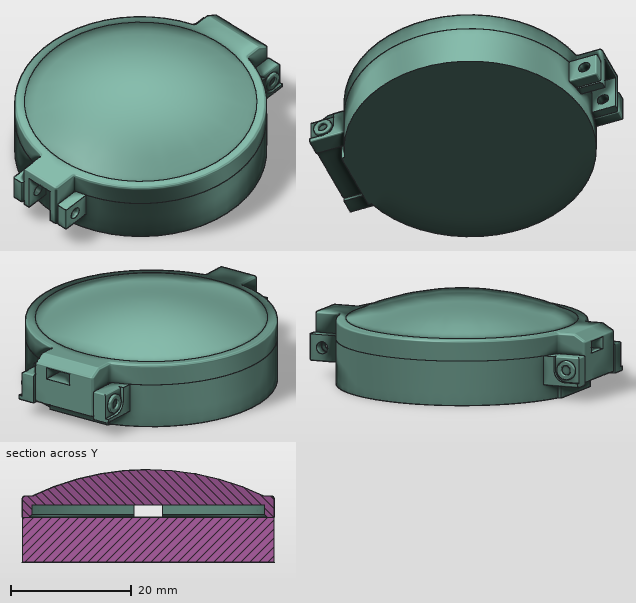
import cadquery as cq
import math

case_radius = 21.0
base_height = 7.55
lid_top = 11.05
dome_height = 4.4
dome_radius = 19.35
cavity_top = 9.55
rim_chamfer = 0.4
tab_reach = 25.1
tab_bottom = 3.0
edge_round = 0.5
small_round = 0.3

latch_half_width = 3.75
latch_slot_half_width = 2.35
latch_lug_inner = 3.9
latch_lug_outer = 5.95

hinge_half_width = 6.0
hinge_flat_y = 20.7
hinge_lug_inner = 6.15
hinge_lug_outer = 9.15
hinge_lug_bottom = 2.55
hinge_slope_run = 2.0
hinge_slope_drop = 1.2
hinge_window_left = -1.25
hinge_window_right = 3.5

axis_offset = 22.85
axis_height = 5.35
pin_radius = 1.0
pin_depth = 2.0
pin_end = hinge_half_width - pin_depth
head_radius = 1.6
head_round = 0.2
socket_radius = 0.8
socket_depth = 0.5
recess_radius = 2.05
recess_depth = 0.6
head_base = hinge_lug_outer - recess_depth

pick_margin = 0.05


def box(x_range, y_range, z_range):
    """Box between two limits along each axis."""
    limits = (x_range, y_range, z_range)
    size = [high - low for low, high in limits]
    return cq.Workplane("XY").box(*size, centered=False).translate(tuple(low for low, high in limits))


def x_cylinder(radius, x_start, x_end, y):
    """Cylinder along X at the height of the cross holes."""
    return (
        cq.Workplane("YZ", origin=(x_start, y, axis_height))
        .circle(radius)
        .extrude(x_end - x_start)
    )


def mirrored(body):
    return body.mirror("YZ")


def base_disc():
    """Round base with a short flat pad in front of the hinge block."""
    disc = cq.Workplane("XY").circle(case_radius).extrude(base_height)
    disc = disc.intersect(
        box((-case_radius, case_radius), (-case_radius, hinge_flat_y), (0, base_height))
    )
    pad = box((-hinge_half_width, hinge_half_width), (0, hinge_flat_y), (0, base_height))
    return disc.union(pad)


def latch_lug():
    lug = box((latch_lug_inner, latch_lug_outer), (-tab_reach, 0), (tab_bottom, base_height))
    lug = lug.edges("(<Y and |Z) or <Z").fillet(small_round)
    return lug.cut(x_cylinder(pin_radius, latch_lug_inner, latch_lug_outer, -axis_offset))


def hinge_recess():
    """Shallow seat for a pin head, open towards +Y and towards the top."""
    seat = x_cylinder(recess_radius, head_base, hinge_lug_outer, axis_offset)
    above = box(
        (head_base, hinge_lug_outer),
        (axis_offset - recess_radius, tab_reach),
        (axis_height, base_height),
    )
    behind = box(
        (head_base, hinge_lug_outer),
        (axis_offset, tab_reach),
        (axis_height - recess_radius, base_height),
    )
    return seat.union(above).union(behind)


def hinge_lug():
    """Lug with a rounded core, and an outer layer that holds the recess and a ledge below it."""
    lug_height = (hinge_lug_bottom, base_height)
    core = box((hinge_lug_inner, head_base), (0, tab_reach), lug_height)
    core = core.faces(">Z").edges(">X or >Y").fillet(small_round)
    shoulder = box((hinge_lug_inner, head_base), (0, axis_offset - recess_radius), lug_height)
    layer = box((head_base, hinge_lug_outer), (0, tab_reach), lug_height)
    layer = layer.edges(">X and <Z").fillet(small_round).cut(hinge_recess())
    lug = core.union(shoulder).union(layer)
    return lug.cut(x_cylinder(pin_radius, hinge_lug_inner, hinge_lug_outer, axis_offset))


def make_base():
    base = base_disc()
    for lug in (latch_lug(), hinge_lug()):
        base = base.union(lug).union(mirrored(lug))
    return base


def lid_cap():
    """Disc with the upper parts of both tabs, rounded along its outer edges."""
    cap = cq.Workplane("XY").workplane(offset=base_height).circle(case_radius)
    cap = cap.extrude(lid_top - base_height)
    cap = cap.union(
        box((-latch_half_width, latch_half_width), (-tab_reach, 0), (base_height, lid_top))
    )
    cap = cap.union(
        box((-hinge_half_width, hinge_half_width), (0, tab_reach), (base_height, lid_top))
    )
    slope = (
        cq.Workplane("YZ", origin=(-hinge_half_width, 0, 0))
        .moveTo(tab_reach, lid_top)
        .lineTo(tab_reach - hinge_slope_run, lid_top)
        .lineTo(tab_reach, lid_top - hinge_slope_drop)
        .close()
        .extrude(2 * hinge_half_width)
    )
    cap = cap.cut(slope)
    for half_width, side in ((latch_half_width, -1), (hinge_half_width, 1)):
        corner_y = side * math.sqrt(case_radius**2 - half_width**2)
        for corner_x in (-half_width, half_width):
            corner = cq.selectors.BoxSelector(
                (corner_x - pick_margin, corner_y - pick_margin, base_height),
                (corner_x + pick_margin, corner_y + pick_margin, lid_top),
            )
            cap = cap.edges(corner).fillet(small_round)
    return cap.edges("((<Y or >Y) and |Z) or (not (<Z or |Z))").fillet(edge_round)


def dome():
    """Spherical cap that rises from the flat top of the lid."""
    sphere_radius = (dome_radius**2 + dome_height**2) / (2 * dome_height)
    sphere_centre = lid_top + dome_height - sphere_radius
    sphere = cq.Workplane("XY").sphere(sphere_radius).translate((0, 0, sphere_centre))
    stock = cq.Workplane("XY").workplane(offset=cavity_top).circle(dome_radius)
    stock = stock.extrude(lid_top + dome_height - cavity_top)
    return stock.intersect(sphere)


def latch_legs():
    """Lower part of the latch tab, between the base lugs and against the base wall."""
    legs = box((-latch_half_width, latch_half_width), (-tab_reach, 0), (tab_bottom, base_height))
    legs = legs.edges("<Y and |Z").fillet(edge_round)
    return legs.cut(base_disc())


def hinge_block():
    """Lower part of the hinge tab, between the base lugs."""
    block = box(
        (-hinge_half_width, hinge_half_width),
        (hinge_flat_y, tab_reach),
        (tab_bottom, base_height),
    )
    return block.edges(">Y and |Z").fillet(edge_round)


def lid_cavity():
    """Round hollow under the dome with a chamfered lower rim."""
    cavity = cq.Workplane("XY").workplane(offset=base_height).circle(dome_radius)
    cavity = cavity.extrude(cavity_top - base_height)
    rim = cq.Workplane("XY").workplane(offset=base_height).circle(dome_radius + rim_chamfer)
    rim = rim.extrude(rim_chamfer, taper=45)
    return cavity.union(rim)


def make_lid():
    lid = lid_cap().union(dome()).union(latch_legs()).union(hinge_block())
    latch_slot = box(
        (-latch_slot_half_width, latch_slot_half_width),
        (-tab_reach, 0),
        (tab_bottom, cavity_top),
    )
    hinge_window = box(
        (hinge_window_left, hinge_window_right),
        (0, tab_reach),
        (base_height, cavity_top),
    )
    latch_hole = x_cylinder(pin_radius, -latch_half_width, latch_half_width, -axis_offset)
    lid = lid.cut(lid_cavity()).cut(latch_slot).cut(hinge_window).cut(latch_hole)
    pin_hole = x_cylinder(pin_radius, pin_end, hinge_half_width, axis_offset)
    return lid.cut(pin_hole).cut(mirrored(pin_hole))


def make_hinge_pin(side):
    """Headed pin with a round socket; side is +1 for the +X pin and -1 for the -X pin."""
    shank = x_cylinder(pin_radius, pin_end, head_base, axis_offset)
    head = x_cylinder(head_radius, head_base, hinge_lug_outer, axis_offset)
    socket_floor = hinge_lug_outer - socket_depth
    socket = x_cylinder(socket_radius, socket_floor, hinge_lug_outer, axis_offset)
    head = head.cut(socket).faces(">X").edges().fillet(head_round)
    pin = shank.union(head)
    return pin if side > 0 else mirrored(pin)


base = make_base()
lid = make_lid()
hinge_pins = [make_hinge_pin(side) for side in (-1, 1)]

result = cq.Compound.makeCompound([base.val(), lid.val(), *[pin.val() for pin in hinge_pins]])